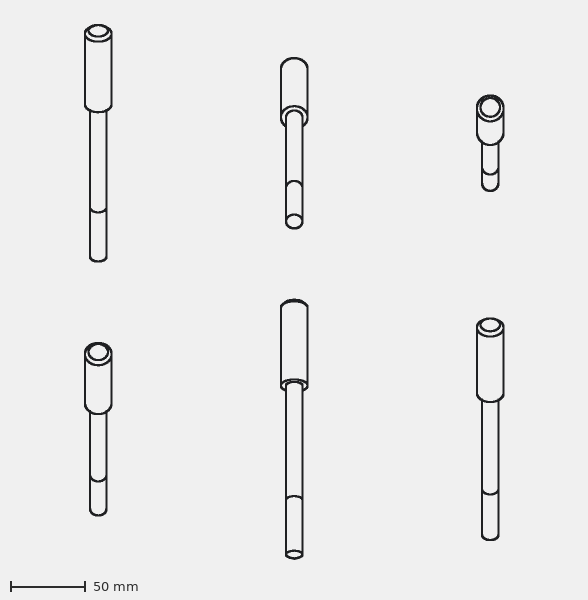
import cadquery as cq
import math

TOTAL_LENGTH = 191.0
SHANK_DIAMETER = 18.0
SHANK_LENGTH = 61.1
SHANK_CHAMFER = 2.5
DRILL_DIAMETER = 11.0
CUTTING_LENGTH = 44.1
POINT_ANGLE = 120.0

shank_radius = SHANK_DIAMETER / 2
drill_radius = DRILL_DIAMETER / 2
shank_bottom = TOTAL_LENGTH - SHANK_LENGTH
neck_length = shank_bottom - CUTTING_LENGTH
point_height = drill_radius / math.tan(math.radians(POINT_ANGLE / 2))


def make_cutting_end():
    """Cylinder with a conical point, revolved from its half section."""
    return (
        cq.Workplane("XZ")
        .moveTo(0, 0)
        .lineTo(drill_radius, point_height)
        .lineTo(drill_radius, CUTTING_LENGTH)
        .lineTo(0, CUTTING_LENGTH)
        .close()
        .revolve(360, (0, 0, 0), (0, 1, 0))
    )


def make_shank():
    """Thick shank with a chamfered top and a neck of the drill diameter below it."""
    grip = (
        cq.Workplane("XY")
        .workplane(offset=shank_bottom)
        .circle(shank_radius)
        .extrude(SHANK_LENGTH)
        .faces(">Z")
        .chamfer(SHANK_CHAMFER)
    )
    neck = (
        cq.Workplane("XY")
        .workplane(offset=CUTTING_LENGTH)
        .circle(drill_radius)
        .extrude(neck_length)
    )
    return grip.union(neck)


cutting_end = make_cutting_end()
shank = make_shank()

result = cq.Compound.makeCompound([cutting_end.val(), shank.solids().val()])